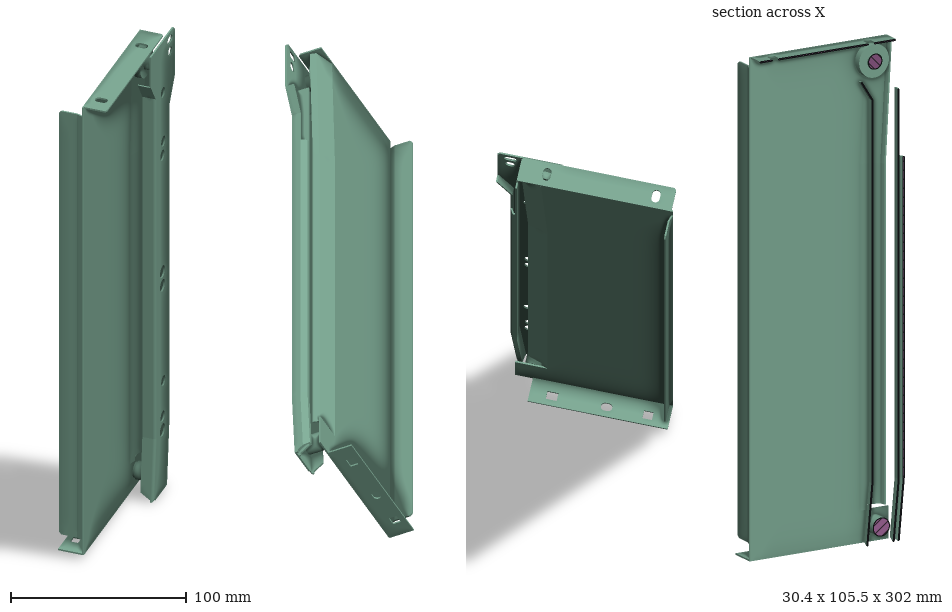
import cadquery as cq
import math

sheet = 1.0
overall_height = 302.0
overall_width = 30.39
overall_depth = 105.5

panel_x = 14.6
panel_inner_x = panel_x + sheet
panel_bottom = 2.8
panel_corner_radius = 0.9
panel_depth = 92.0
foot_top = 22.2

ramp_start_y = 73.0
ramp_end_y = 85.3
ramp_end_x = 18.6
lip_end_x = 22.3
lip_end_y = 86.2
ramp_lean_z = 228.0
ramp_lean = 3.9
ramp_top_gap = 1.6
relief_y = 77.0
relief_top = 25.6

front_flange_bottom = 13.0
front_flange_top = 296.0
front_flange_setback = 1.2
front_flange_jog_x = 11.0
front_flange_chamfer = 1.5

top_flange_end_x = 29.1
top_flange_front_y = 1.0
top_flange_back_y = 91.1
top_flange_corner = 1.2
top_slot_x = 21.9
top_slot_size = (7.6, 4.8)
top_slot_ys = (11.5, 75.1)

bottom_flange_depth = 81.6
bottom_hole_x = 5.9
bottom_hole_width = 4.8
bottom_slot_y = 36.8
bottom_slot_length = 6.6
bottom_rectangles = ((12.7, 5.6), (68.6, 6.4))

panel_roller_y = 81.5
panel_roller_z = 13.6
panel_roller_diameter = 11.0
panel_roller_hub_diameter = 9.4
panel_roller_hub_end_x = 17.0
panel_roller_end_x = 28.0

web_x = overall_width - sheet
rail_left_x = 21.4
front_track_left_x = 22.3
front_track_y = 75.1
rear_track_y = 92.5
rear_wall_y = 96.9
rear_slope_y = 94.9
rail_corner_radius = 1.7
rail_bend_z = 40.5
rail_lean = 3.7

flare_bottom = 268.0
flare_top = 279.7
flare_y = 67.8
rear_track_top = 272.2
hollow_edge_top = 231.5
tab_top = 300.0
tab_corner = 2.0
tab_slope_top = 266.9
tab_slope_bottom = 251.8
tab_flange_left_x = 25.0

rail_foot_left_z = 5.8
rail_foot_right_z = 1.4
rail_foot_right_x = 28.4

tab_slot_center = (97.8, 295.0)
tab_slot_size = (7.6, 4.6)
tab_hole = (98.0, 287.0, 5.8)
web_holes = (
    (86.7, 266.0, 6.4),
    (87.2, 233.0, 6.5),
    (85.8, 224.4, 6.6),
    (86.0, 146.5, 7.6),
    (86.0, 137.4, 7.6),
    (87.2, 72.9, 6.5),
    (86.3, 49.7, 6.6),
    (85.9, 40.7, 8.0),
)

rail_wheel_y = 77.4
rail_wheel_z = 290.6
rail_wheel_diameter = 19.8
rail_wheel_x = 19.6
rail_wheel_end_x = 24.0
rail_hub_diameter = 9.2


def block(x0, x1, y0, y1, z0, z1):
    """Box between two opposite corners."""
    return cq.Workplane("XY").box(x1 - x0, y1 - y0, z1 - z0, centered=False).translate((x0, y0, z0))


def side_shape(points, x0, x1):
    """Y-Z outline extruded from x0 to x1."""
    return cq.Workplane("YZ", origin=(x0, 0, 0)).polyline(points).close().extrude(x1 - x0)


def rod(y, z, diameter, x0, x1):
    """Cylinder along X."""
    return cq.Workplane("YZ", origin=(x0, y, z)).circle(diameter / 2).extrude(x1 - x0)


def panel_section(shift):
    """Plate, ramp and lip in the X-Y plane, with the ramp moved back by shift."""
    start_y = ramp_start_y + shift
    end_y = ramp_end_y + shift
    tip_y = lip_end_y + shift
    slope = math.atan2(ramp_end_x - panel_x, ramp_end_y - ramp_start_y)
    inner_start_y = start_y - sheet * math.tan(slope / 2)
    inner_end_y = end_y - sheet
    inner_end_x = panel_inner_x + (inner_end_y - inner_start_y) * math.tan(slope)
    return [
        (panel_x, 0),
        (panel_x, start_y),
        (ramp_end_x, end_y),
        (lip_end_x, tip_y),
        (lip_end_x, tip_y - sheet),
        (inner_end_x, inner_end_y),
        (panel_inner_x, inner_start_y),
        (panel_inner_x, 0),
    ]


def panel_plate():
    straight = (
        cq.Workplane("XY", origin=(0, 0, foot_top))
        .polyline(panel_section(0)).close()
        .extrude(ramp_lean_z - foot_top)
    )
    ramp_top = overall_height - ramp_top_gap
    leaning = (
        cq.Workplane("XY", origin=(0, 0, ramp_lean_z))
        .polyline(panel_section(0)).close()
        .workplane(offset=ramp_top - ramp_lean_z)
        .polyline(panel_section(ramp_lean)).close()
        .loft(ruled=True)
    )
    head = block(panel_x, panel_inner_x, 0, ramp_start_y + ramp_lean, ramp_top, overall_height)
    relief = block(panel_x, lip_end_x, relief_y, lip_end_y, foot_top, relief_top)
    foot = block(panel_x, panel_inner_x, 0, panel_depth, panel_bottom, foot_top)
    return straight.cut(relief).union(leaning).union(head).union(foot)


def front_corner_waste():
    """Material outside the rounded front edge of the plate."""
    radius = panel_corner_radius
    corner = block(panel_inner_x - radius, panel_inner_x, 0, radius, 0, overall_height)
    round_bar = (
        cq.Workplane("XY").center(panel_inner_x - radius, radius)
        .circle(radius).extrude(overall_height)
    )
    return corner.cut(round_bar)


def front_flange():
    """Flange along the front edge, jogged back from the plate."""
    outline = [
        (0, front_flange_setback),
        (front_flange_jog_x, front_flange_setback),
        (panel_x, 0),
        (panel_inner_x, 0),
        (panel_inner_x, sheet),
        (panel_x, sheet),
        (front_flange_jog_x, front_flange_setback + sheet),
        (0, front_flange_setback + sheet),
    ]
    return (
        cq.Workplane("XY", origin=(0, 0, front_flange_bottom))
        .polyline(outline).close()
        .extrude(front_flange_top - front_flange_bottom)
        .edges("|Y and <X").chamfer(front_flange_chamfer)
    )


def top_flange():
    z0 = overall_height - sheet
    flange = block(panel_x, top_flange_end_x, top_flange_front_y, top_flange_back_y, z0, overall_height)
    flange = flange.edges("|Z and >X").chamfer(top_flange_corner)
    slots = (
        cq.Workplane("XY", origin=(0, 0, z0))
        .pushPoints([(top_slot_x, y) for y in top_slot_ys])
        .slot2D(*top_slot_size).extrude(sheet)
    )
    return flange.cut(slots)


def bottom_flange():
    flange = block(0, panel_inner_x, 0, bottom_flange_depth, panel_bottom, panel_bottom + sheet)
    base = cq.Workplane("XY", origin=(0, 0, panel_bottom))
    slot = (
        base.center(bottom_hole_x, bottom_slot_y)
        .slot2D(bottom_slot_length, bottom_hole_width, 90).extrude(sheet)
    )
    flange = flange.cut(slot)
    for y, length in bottom_rectangles:
        flange = flange.cut(base.center(bottom_hole_x, y).rect(bottom_hole_width, length).extrude(sheet))
    return flange


def panel_roller():
    hub = rod(panel_roller_y, panel_roller_z, panel_roller_hub_diameter,
              panel_inner_x, panel_roller_hub_end_x)
    roller = rod(panel_roller_y, panel_roller_z, panel_roller_diameter,
                 panel_roller_hub_end_x, panel_roller_end_x)
    return hub.union(roller)


def make_side_panel():
    panel = panel_plate().union(front_flange()).union(top_flange())
    panel = panel.union(bottom_flange()).cut(front_corner_waste())
    return panel.union(panel_roller())


def rail_web():
    outline = [
        (front_track_y - rail_lean, 0),
        (front_track_y, rail_bend_z),
        (front_track_y, flare_bottom),
        (flare_y, flare_top),
        (flare_y, tab_top),
        (overall_depth - tab_corner, tab_top),
        (overall_depth, tab_top - tab_corner),
        (overall_depth, tab_slope_top),
        (rear_wall_y, tab_slope_bottom),
        (rear_wall_y, rail_bend_z),
        (rear_wall_y - rail_lean, 0),
    ]
    web = side_shape(outline, web_x, overall_width)
    for y, z, diameter in web_holes + (tab_hole,):
        web = web.cut(rod(y, z, diameter, web_x, overall_width))
    slot = (
        cq.Workplane("YZ", origin=(web_x, 0, 0)).center(*tab_slot_center)
        .slot2D(*tab_slot_size).extrude(sheet)
    )
    return web.cut(slot)


def front_track():
    """Wall across X that leans forward at the bottom and flares forward at the top."""
    front_wall = side_shape(
        [
            (front_track_y, flare_bottom),
            (front_track_y, rail_bend_z),
            (front_track_y - rail_lean, 0),
            (front_track_y - rail_lean + sheet, 0),
            (front_track_y + sheet, rail_bend_z),
            (front_track_y + sheet, flare_bottom),
        ],
        front_track_left_x, overall_width,
    )
    flare = side_shape(
        [
            (front_track_y, flare_bottom),
            (flare_y, flare_top),
            (flare_y + sheet, flare_top),
            (front_track_y + sheet, flare_bottom),
        ],
        front_track_left_x, overall_width,
    )
    return front_wall.union(flare)


def rear_edge_section(shift):
    """Rear track folded back into a hollow edge, in the X-Y plane, moved forward by shift."""
    inner_x = rail_left_x + sheet
    outline = [
        (overall_width, rear_track_y),
        (rail_left_x, rear_track_y),
        (rail_left_x, rear_slope_y),
        (tab_flange_left_x, rear_wall_y),
        (overall_width, rear_wall_y),
        (overall_width, rear_wall_y - sheet),
        (tab_flange_left_x, rear_wall_y - sheet),
        (inner_x, rear_slope_y - sheet / 2),
        (inner_x, rear_track_y + sheet),
        (overall_width, rear_track_y + sheet),
    ]
    return [(x, y - shift) for x, y in outline]


def rear_edge():
    """Hollow rear edge, with the rear track alone above it."""
    leaning = (
        cq.Workplane("XY")
        .polyline(rear_edge_section(rail_lean)).close()
        .workplane(offset=rail_bend_z)
        .polyline(rear_edge_section(0)).close()
        .loft(ruled=True)
    )
    straight = (
        cq.Workplane("XY", origin=(0, 0, rail_bend_z))
        .polyline(rear_edge_section(0)).close()
        .extrude(hollow_edge_top - rail_bend_z)
    )
    track = block(rail_left_x, overall_width, rear_track_y, rear_track_y + sheet,
                  hollow_edge_top, rear_track_top)
    return leaning.union(straight).union(track)


def tab_flange():
    """Flange along the lower sloped edge of the tab, down to the hollow edge."""
    outline = [
        (rear_wall_y, hollow_edge_top),
        (rear_wall_y, tab_slope_bottom),
        (overall_depth, tab_slope_top),
        (overall_depth - sheet, tab_slope_top),
        (rear_wall_y - sheet, tab_slope_bottom),
        (rear_wall_y - sheet, hollow_edge_top),
    ]
    return side_shape(outline, tab_flange_left_x, overall_width)


def slanted_foot_cut():
    """Wedge below the slanted lower end of the tracks."""
    slope = (rail_foot_right_z - rail_foot_left_z) / (rail_foot_right_x - rail_left_x)
    outside_x = rail_left_x - sheet
    outside_z = rail_foot_left_z - slope * sheet
    return (
        cq.Workplane("XZ")
        .polyline([
            (outside_x, 0),
            (outside_x, outside_z),
            (rail_foot_right_x, rail_foot_right_z),
            (rail_foot_right_x, 0),
        ]).close()
        .extrude(-overall_depth)
    )


def rail_wheel():
    wheel = rod(rail_wheel_y, rail_wheel_z, rail_wheel_diameter, rail_wheel_x, rail_wheel_end_x)
    hub = rod(rail_wheel_y, rail_wheel_z, rail_hub_diameter, rail_wheel_end_x, web_x)
    return wheel.union(hub)


def rail_corner_waste():
    """Material outside the rounded bend between the web and the front track, below the flare."""
    depth = 2 * rail_corner_radius
    strip = side_shape(
        [
            (front_track_y, flare_bottom),
            (front_track_y, rail_bend_z),
            (front_track_y - rail_lean, 0),
            (front_track_y - rail_lean + depth, 0),
            (front_track_y + depth, rail_bend_z),
            (front_track_y + depth, flare_bottom),
        ],
        overall_width - depth, overall_width,
    )
    bend_edges = cq.selectors.BoxSelector(
        (overall_width - sheet, front_track_y - rail_lean, 0),
        (overall_width + sheet, front_track_y + sheet, flare_bottom - sheet),
    )
    front_edges = strip.faces(">X").edges(bend_edges)
    return strip.cut(front_edges.fillet(rail_corner_radius))


def channel():
    return rail_web().union(front_track()).cut(rail_corner_waste())


def make_rail():
    rail = channel().union(rear_edge()).union(tab_flange())
    return rail.cut(slanted_foot_cut()).union(rail_wheel())


side_panel = make_side_panel()
rail = make_rail()
result = cq.Compound.makeCompound([side_panel.val(), rail.val()])